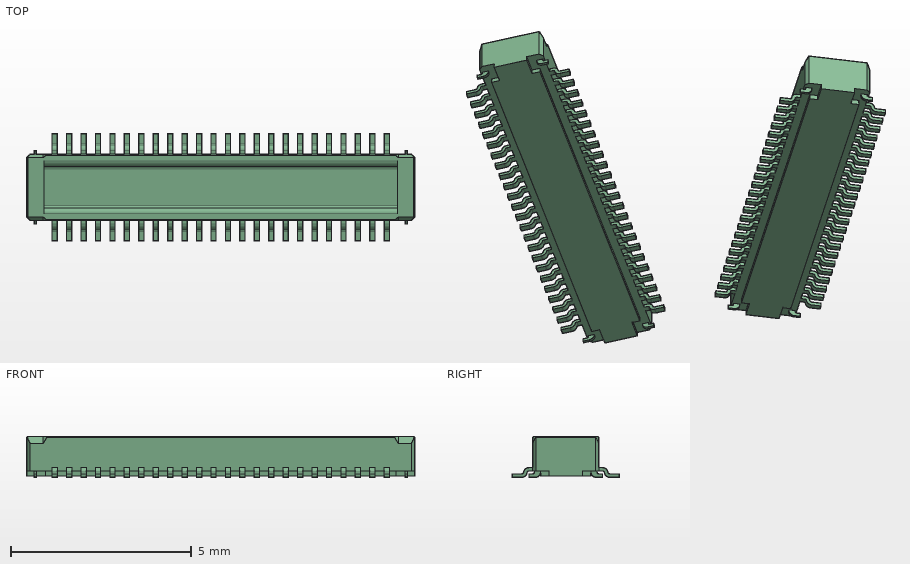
import cadquery as cq
import math


HOUSING_LENGTH = 10.76
HOUSING_WIDTH = 1.84
TOP_Z = 1.14
WALL_BOTTOM_Z = 0.175
STANDOFF_Z = 0.035
CORNER_CHAMFER = 0.1
RIM_CHAMFER = 0.035

CAVITY_LENGTH = 9.78
CAVITY_MOUTH_WIDTH = 1.45
MOUTH_RADIUS = 0.15
FLOOR_RADIUS = 0.07
FLOOR_Z = 0.35

RELIEF_LENGTH = 0.46
RELIEF_WIDTH = 0.1
RELIEF_DEPTH = 0.2
RELIEF_FLARE = 0.12

STANDOFF_NARROW_WIDTH = 0.94
STANDOFF_WIDE_WIDTH = 1.39
STANDOFF_END_LENGTH = 0.52

METAL_THICKNESS = 0.1
BEND_RADIUS = 0.05

CONTACTS_PER_ROW = 24
CONTACT_PITCH = 0.4
CONTACT_WIDTH = 0.15
CONTACT_SPAN = 2.97
CONTACT_BEND_END_Y = 1.22

TAB_SPACING = 10.28
TAB_WIDTH = 0.065
TAB_TIP_Y = 1.02
TAB_INNER_Y = 0.695
TAB_FACE_Y = 0.87
TAB_HEEL_RADIUS = 0.15

OVERLAP = 0.05


def block(length, width, bottom, top):
    """Box centred on the Z axis between two heights."""
    plane = cq.Workplane("XY").workplane(offset=bottom)
    return plane.rect(length, width).extrude(top - bottom)


def four_corners(shape):
    """Copies of a shape mirrored about the XZ and YZ planes."""
    pair = shape.union(shape.mirror("XZ"))
    return pair.union(pair.mirror("YZ"))


def make_shell():
    """Outer body with chamfered vertical corners and a chamfered rim."""
    shell = block(HOUSING_LENGTH, HOUSING_WIDTH, WALL_BOTTOM_Z, TOP_Z)
    shell = shell.edges("|Z").chamfer(CORNER_CHAMFER)
    return shell.faces(">Z").chamfer(RIM_CHAMFER)


def make_standoff():
    """Raised pads on the underside that carry the housing above the board."""
    top = WALL_BOTTOM_Z + OVERLAP
    narrow = block(HOUSING_LENGTH, STANDOFF_NARROW_WIDTH, STANDOFF_Z, top)
    wide = block(HOUSING_LENGTH - 2 * STANDOFF_END_LENGTH, STANDOFF_WIDE_WIDTH, STANDOFF_Z, top)
    return narrow.union(wide)


def make_cavity():
    """Cavity with a rounded lip along both long walls and filleted floor edges."""
    mouth_y = CAVITY_MOUTH_WIDTH / 2
    wall_y = mouth_y - MOUTH_RADIUS
    floor_y = wall_y - FLOOR_RADIUS
    profile = (
        cq.Workplane("YZ")
        .moveTo(-floor_y, FLOOR_Z)
        .lineTo(floor_y, FLOOR_Z)
        .radiusArc((wall_y, FLOOR_Z + FLOOR_RADIUS), -FLOOR_RADIUS)
        .lineTo(wall_y, TOP_Z - MOUTH_RADIUS)
        .radiusArc((mouth_y, TOP_Z), MOUTH_RADIUS)
        .lineTo(-mouth_y, TOP_Z)
        .radiusArc((-wall_y, TOP_Z - MOUTH_RADIUS), MOUTH_RADIUS)
        .lineTo(-wall_y, FLOOR_Z + FLOOR_RADIUS)
        .radiusArc((-floor_y, FLOOR_Z), -FLOOR_RADIUS)
        .close()
    )
    return profile.extrude(CAVITY_LENGTH / 2, both=True)


def make_relief():
    """Sloped cut at the +X +Y corner whose inner end flares toward the outside."""
    outer_y = HOUSING_WIDTH / 2
    inner_y = outer_y - RELIEF_WIDTH
    low_z = TOP_Z - RELIEF_DEPTH
    end_x = HOUSING_LENGTH / 2
    stop_x = end_x - RELIEF_LENGTH

    def section(x, outer_top_x):
        points = [(x, inner_y, TOP_Z), (x, outer_y, low_z), (outer_top_x, outer_y, TOP_Z)]
        return cq.Wire.makePolygon([cq.Vector(*point) for point in points], close=True)

    sections = [section(stop_x, stop_x - RELIEF_FLARE), section(end_x, end_x)]
    return cq.Workplane(obj=cq.Solid.makeLoft(sections, True))


def make_contact():
    """Gull-wing contact leaving the +Y wall through two opposite bends, centred on X = 0."""
    outer_radius = BEND_RADIUS + METAL_THICKNESS
    shoulder_z = WALL_BOTTOM_Z
    mid_radius = BEND_RADIUS + METAL_THICKNESS / 2
    bend_angle = math.acos(1 - shoulder_z / (2 * mid_radius))
    half_run = mid_radius * math.sin(bend_angle)
    tip_y = CONTACT_SPAN / 2
    root_y = HOUSING_WIDTH / 2 - OVERLAP
    shoulder_y = CONTACT_BEND_END_Y - 2 * half_run

    def on_arc(center, radius, angle):
        """Point at an angle measured from straight up, positive toward +Y."""
        return (center[0] + radius * math.sin(angle), center[1] + radius * math.cos(angle))

    upper = (shoulder_y, shoulder_z - BEND_RADIUS)
    lower = (CONTACT_BEND_END_Y, outer_radius)
    upper_mid = bend_angle / 2
    lower_mid = math.pi + bend_angle / 2
    lower_start = math.pi + bend_angle
    profile = (
        cq.Workplane("YZ")
        .moveTo(root_y, shoulder_z)
        .lineTo(shoulder_y, shoulder_z)
        .threePointArc(on_arc(upper, BEND_RADIUS, upper_mid), on_arc(upper, BEND_RADIUS, bend_angle))
        .threePointArc(on_arc(lower, outer_radius, lower_mid), on_arc(lower, outer_radius, math.pi))
        .lineTo(tip_y, 0)
        .lineTo(tip_y, METAL_THICKNESS)
        .lineTo(CONTACT_BEND_END_Y, METAL_THICKNESS)
        .threePointArc(on_arc(lower, BEND_RADIUS, lower_mid), on_arc(lower, BEND_RADIUS, lower_start))
        .threePointArc(on_arc(upper, outer_radius, upper_mid), on_arc(upper, outer_radius, 0))
        .lineTo(root_y, shoulder_z + METAL_THICKNESS)
        .close()
    )
    return profile.extrude(CONTACT_WIDTH / 2, both=True)


def make_tab():
    """Solder tab at the +X +Y corner: a post under the wall with a foot pointing outward."""
    top = WALL_BOTTOM_Z + OVERLAP
    profile = (
        cq.Workplane("YZ")
        .moveTo(TAB_TIP_Y, 0)
        .lineTo(TAB_TIP_Y, METAL_THICKNESS)
        .lineTo(TAB_FACE_Y + BEND_RADIUS, METAL_THICKNESS)
        .radiusArc((TAB_FACE_Y, METAL_THICKNESS + BEND_RADIUS), BEND_RADIUS)
        .lineTo(TAB_FACE_Y, top)
        .lineTo(TAB_INNER_Y, top)
        .lineTo(TAB_INNER_Y, TAB_HEEL_RADIUS)
        .radiusArc((TAB_INNER_Y + TAB_HEEL_RADIUS, 0), -TAB_HEEL_RADIUS)
        .close()
    )
    tab = profile.extrude(TAB_WIDTH / 2, both=True)
    return tab.translate((TAB_SPACING / 2, 0, 0))


def add_contacts(body):
    """Both contact rows, evenly pitched and centred along X."""
    contact = make_contact()
    pair = contact.union(contact.mirror("XZ"))
    first_x = -(CONTACTS_PER_ROW - 1) * CONTACT_PITCH / 2
    for index in range(CONTACTS_PER_ROW):
        body = body.union(pair.translate((first_x + index * CONTACT_PITCH, 0, 0)))
    return body


housing = make_shell().union(make_standoff())
housing = housing.cut(make_cavity()).cut(four_corners(make_relief()))
result = add_contacts(housing.union(four_corners(make_tab())))